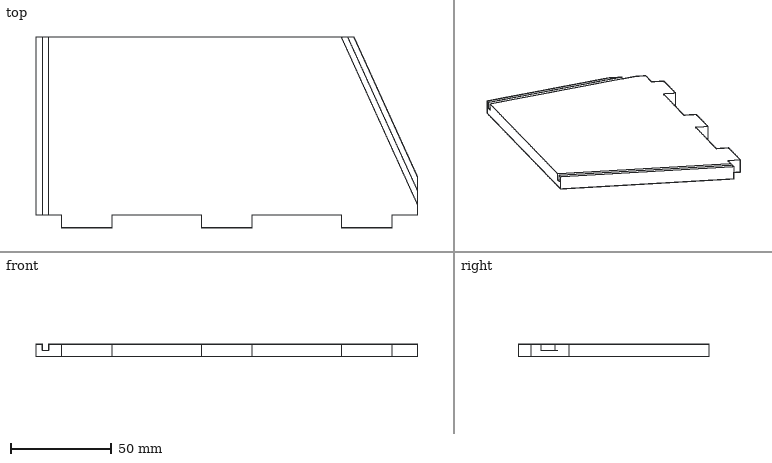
import cadquery as cq

thickness = 6.35
length = 190.5
plate_width = 88.9
back_length = 158.75
right_edge_width = 19.05

groove_width = thickness / 2
groove_depth = thickness / 2
groove_inset = thickness / 2

tab_length = 25.4
tab_reach = thickness
tab_count = 3
tab_margin = 12.7
tab_pitch = (length - 2 * tab_margin - tab_length) / (tab_count - 1)


def make_plate():
    outline = [
        (0, 0),
        (length, 0),
        (length, right_edge_width),
        (back_length, plate_width),
        (0, plate_width),
    ]
    return cq.Workplane("XY").polyline(outline).close().extrude(thickness)


def make_tab(start_x):
    tab = cq.Workplane("XY").box(tab_length, tab_reach, thickness, centered=False)
    return tab.translate((start_x, -tab_reach, 0))


def make_left_groove_cutter():
    cutter = cq.Workplane("XY").box(groove_width, plate_width, groove_depth, centered=False)
    return cutter.translate((groove_inset, 0, thickness - groove_depth))


def make_slanted_groove_cutter():
    """Parallelogram bar along the slant; its inset and width are measured along X."""
    run_per_rise = (length - back_length) / (plate_width - right_edge_width)
    front_x = back_length + plate_width * run_per_rise
    outline = [
        (front_x - groove_inset, 0),
        (back_length - groove_inset, plate_width),
        (back_length - groove_inset - groove_width, plate_width),
        (front_x - groove_inset - groove_width, 0),
    ]
    cutter = cq.Workplane("XY").polyline(outline).close().extrude(groove_depth)
    return cutter.translate((0, 0, thickness - groove_depth))


result = make_plate().cut(make_left_groove_cutter()).cut(make_slanted_groove_cutter())
for index in range(tab_count):
    result = result.union(make_tab(tab_margin + index * tab_pitch))